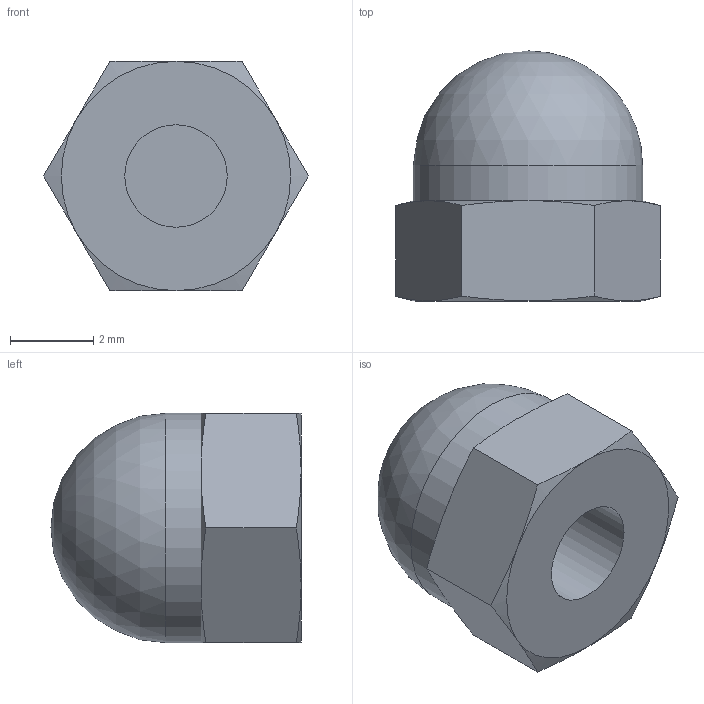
import cadquery as cq
import math

across_flats = 5.5
hex_height = 2.4
total_height = 6.0
bore_diameter = 2.46
bore_depth = 4.0
chamfer_angle = 15.0

dome_radius = across_flats / 2
dome_start = total_height - dome_radius
across_corners = across_flats / math.cos(math.radians(30))
corner_radius = across_corners / 2
chamfer_slope = math.tan(math.radians(chamfer_angle))
chamfer_height = (corner_radius - dome_radius) * chamfer_slope


def revolve_about_y(profile):
    return profile.revolve(360, (0, 0, 0), (0, 1, 0))


def hexagon():
    """Hexagonal body with corners on +X and -X, chamfered at both ends."""
    prism = (
        cq.Workplane("XZ")
        .polygon(6, across_corners)
        .extrude(-hex_height)
    )
    envelope = revolve_about_y(
        cq.Workplane("XY")
        .lineTo(dome_radius, 0)
        .lineTo(corner_radius, chamfer_height)
        .lineTo(corner_radius, hex_height - chamfer_height)
        .lineTo(dome_radius, hex_height)
        .lineTo(0, hex_height)
        .close()
    )
    return prism.intersect(envelope)


def cap():
    """Short cylinder closed by a hemisphere, standing on the hexagon."""
    arc_mid_offset = dome_radius * math.sqrt(0.5)
    return revolve_about_y(
        cq.Workplane("XY")
        .moveTo(0, hex_height)
        .lineTo(dome_radius, hex_height)
        .lineTo(dome_radius, dome_start)
        .threePointArc((arc_mid_offset, dome_start + arc_mid_offset), (0, total_height))
        .close()
    )


def bore():
    """Blind, flat-bottomed hole from the open face."""
    return cq.Workplane("XZ").circle(bore_diameter / 2).extrude(-bore_depth)


result = hexagon().union(cap()).cut(bore())